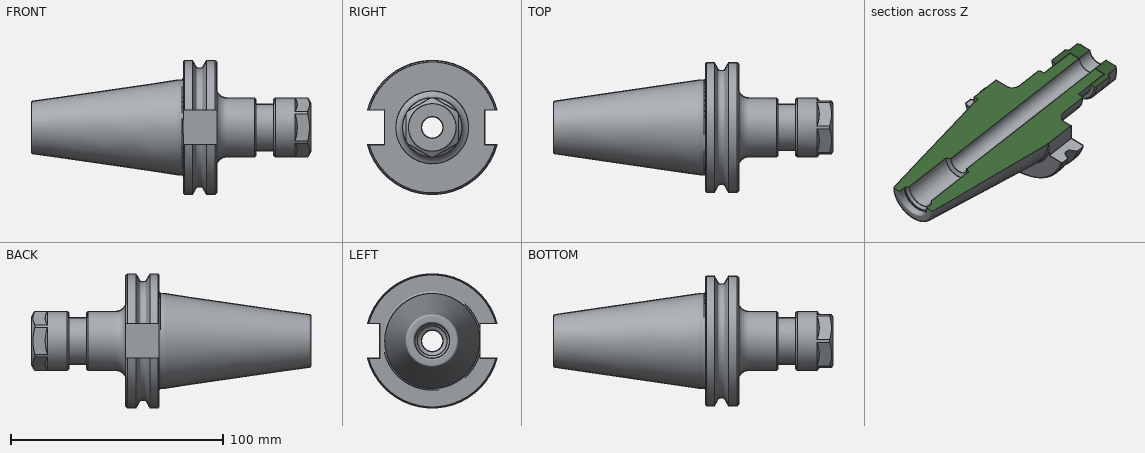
import cadquery as cq
import math

TOTAL_LENGTH = 131.8

TAPER_RATIO = 7 / 24
COLLAR_RADIUS = 22.4
TAPER_END = 69.0
COLLAR_FILLET = 0.8
TAPER_TIP_FILLET = 1.0

FLANGE_RADIUS = 31.6
FLANGE_BACK = 71.7
FLANGE_FRONT = 87.4
FLANGE_BACK_EDGE = 0.5
FLANGE_FRONT_EDGE = 0.8
GROOVE_CENTRE = 79.2
GROOVE_TOP_WIDTH = 6.7
GROOVE_FLOOR_RADIUS = 28.1
GROOVE_WALL_ANGLE = 30.0
GROOVE_FILLET = 0.9

SLOT_WIDTH = 16.2
SLOT_FLOOR_PLUS_Y = 24.8
SLOT_FLOOR_MINUS_Y = 22.5

NECK_RADIUS = 14.0
NECK_FLARE_RADIUS = 17.1
NECK_FLARE_END = 92.1
NECK_END = 105.8
NECK_EDGE = 0.8

MOUTH_RADIUS = 8.24
MOUTH_FILLET = 1.0
MOUTH_DEPTH = 3.4
STEP_RADIUS = 8.2
STEP_END = 4.1
THREAD_RADIUS = 7.0
THREAD_START = 5.5
THREAD_END = 31.6
THROUGH_RADIUS = 5.0
DRILL_POINT_ANGLE = 118.0

NUT_BACK = 114.1
NUT_RADIUS = 14.0
NUT_BACK_EDGE = 0.8
HEX_SIDES = 6
HEX_START = 124.3
HEX_FLATS = 24.9
HEX_SHOULDER_LENGTH = 1.0
NUT_FACE_RADIUS = 11.2
NUT_FRONT_CHAMFER = 1.6

SPIGOT_RADIUS = 11.0
SPIGOT_END = HEX_START

SELECTION_MARGIN = 0.01


def turned(profile):
    """Revolve a profile of (x, radius) points about the X axis."""
    return profile.close().revolve(360, (0, 0, 0), (1, 0, 0))


def rod(start, end, radius):
    """A plain cylinder along X."""
    return cq.Workplane("YZ", origin=(start, 0, 0)).circle(radius).extrude(end - start)


def ring_edge(body, x, radius):
    """The largest circular edge at x that is no larger than this radius."""
    reach = radius + SELECTION_MARGIN
    disc = cq.selectors.BoxSelector(
        (x - SELECTION_MARGIN, -reach, -reach),
        (x + SELECTION_MARGIN, reach, reach),
        boundingbox=True,
    )
    return body.edges(disc).edges(cq.selectors.RadiusNthSelector(-1))


def make_shank():
    tip_radius = COLLAR_RADIUS - TAPER_END * TAPER_RATIO / 2
    shank = turned(
        cq.Workplane("XY")
        .lineTo(0, tip_radius)
        .lineTo(TAPER_END, COLLAR_RADIUS)
        .lineTo(FLANGE_BACK, COLLAR_RADIUS)
        .lineTo(FLANGE_BACK, 0)
    )
    return ring_edge(shank, 0, tip_radius).fillet(TAPER_TIP_FILLET)


def make_flange():
    wall_run = (FLANGE_RADIUS - GROOVE_FLOOR_RADIUS) * math.tan(math.radians(GROOVE_WALL_ANGLE))
    half_top = GROOVE_TOP_WIDTH / 2
    half_floor = half_top - wall_run
    flange = turned(
        cq.Workplane("XY")
        .moveTo(FLANGE_BACK, 0)
        .lineTo(FLANGE_BACK, FLANGE_RADIUS - FLANGE_BACK_EDGE)
        .lineTo(FLANGE_BACK + FLANGE_BACK_EDGE, FLANGE_RADIUS)
        .lineTo(GROOVE_CENTRE - half_top, FLANGE_RADIUS)
        .lineTo(GROOVE_CENTRE - half_floor, GROOVE_FLOOR_RADIUS)
        .lineTo(GROOVE_CENTRE + half_floor, GROOVE_FLOOR_RADIUS)
        .lineTo(GROOVE_CENTRE + half_top, FLANGE_RADIUS)
        .lineTo(FLANGE_FRONT - FLANGE_FRONT_EDGE, FLANGE_RADIUS)
        .lineTo(FLANGE_FRONT, FLANGE_RADIUS - FLANGE_FRONT_EDGE)
        .lineTo(FLANGE_FRONT, 0)
    )
    for side in (-1, 1):
        corner = ring_edge(flange, GROOVE_CENTRE + side * half_floor, GROOVE_FLOOR_RADIUS)
        flange = corner.fillet(GROOVE_FILLET)
    return flange


def make_neck():
    flare_length = NECK_FLARE_END - FLANGE_FRONT
    flare_height = NECK_FLARE_RADIUS - NECK_RADIUS
    flare_arc = (flare_length**2 + flare_height**2) / (2 * flare_height)
    return turned(
        cq.Workplane("XY")
        .moveTo(FLANGE_FRONT, 0)
        .lineTo(FLANGE_FRONT, NECK_FLARE_RADIUS)
        .radiusArc((NECK_FLARE_END, NECK_RADIUS), -flare_arc)
        .lineTo(NECK_END - NECK_EDGE, NECK_RADIUS)
        .lineTo(NECK_END, NECK_RADIUS - NECK_EDGE)
        .lineTo(NECK_END, SPIGOT_RADIUS)
        .lineTo(SPIGOT_END, SPIGOT_RADIUS)
        .lineTo(SPIGOT_END, 0)
    )


def make_slot(side, floor):
    """Cutter for one drive slot, open to the outside on the given Y side."""
    start = FLANGE_BACK - COLLAR_FILLET
    length = FLANGE_FRONT - start
    depth = FLANGE_RADIUS - floor
    middle = (start + length / 2, side * (floor + depth / 2), 0)
    return cq.Workplane("XY").box(length, depth, SLOT_WIDTH).translate(middle)


def make_bore():
    point_length = (THREAD_RADIUS - THROUGH_RADIUS) / math.tan(math.radians(DRILL_POINT_ANGLE / 2))
    return turned(
        cq.Workplane("XY")
        .lineTo(0, MOUTH_RADIUS + MOUTH_FILLET)
        .radiusArc((MOUTH_FILLET, MOUTH_RADIUS), -MOUTH_FILLET)
        .lineTo(MOUTH_DEPTH, MOUTH_RADIUS)
        .lineTo(MOUTH_DEPTH, STEP_RADIUS)
        .lineTo(STEP_END, STEP_RADIUS)
        .lineTo(THREAD_START, THREAD_RADIUS)
        .lineTo(THREAD_END, THREAD_RADIUS)
        .lineTo(THREAD_END + point_length, THROUGH_RADIUS)
        .lineTo(SPIGOT_END, THROUGH_RADIUS)
        .lineTo(SPIGOT_END, 0)
    )


def make_holder():
    holder = make_shank().union(make_flange())
    holder = ring_edge(holder, FLANGE_BACK, COLLAR_RADIUS).fillet(COLLAR_FILLET)
    holder = holder.union(make_neck())
    holder = holder.cut(make_slot(1, SLOT_FLOOR_PLUS_Y)).cut(make_slot(-1, SLOT_FLOOR_MINUS_Y))
    return holder.cut(make_bore())


def make_nut():
    nut = turned(
        cq.Workplane("XY")
        .moveTo(NUT_BACK, 0)
        .lineTo(NUT_BACK, NUT_RADIUS - NUT_BACK_EDGE)
        .lineTo(NUT_BACK + NUT_BACK_EDGE, NUT_RADIUS)
        .lineTo(TOTAL_LENGTH - NUT_FRONT_CHAMFER, NUT_RADIUS)
        .lineTo(TOTAL_LENGTH, NUT_FACE_RADIUS)
        .lineTo(TOTAL_LENGTH, 0)
    )
    shoulder = turned(
        cq.Workplane("XY")
        .moveTo(NUT_BACK, 0)
        .lineTo(NUT_BACK, NUT_RADIUS)
        .lineTo(HEX_START, NUT_RADIUS)
        .lineTo(HEX_START + HEX_SHOULDER_LENGTH, HEX_FLATS / 2)
        .lineTo(HEX_START + HEX_SHOULDER_LENGTH, 0)
    )
    hexagon = (
        cq.Workplane("YZ", origin=(NUT_BACK, 0, 0))
        .polygon(HEX_SIDES, HEX_FLATS, circumscribed=True)
        .extrude(TOTAL_LENGTH - NUT_BACK)
    )
    nut = nut.intersect(hexagon.union(shoulder))
    spigot_hole = rod(NUT_BACK, SPIGOT_END, SPIGOT_RADIUS)
    front_hole = rod(SPIGOT_END, TOTAL_LENGTH, THROUGH_RADIUS)
    return nut.cut(spigot_hole).cut(front_hole)


holder = make_holder()
nut = make_nut()
result = cq.Compound.makeCompound([holder.solids().val(), nut.solids().val()])